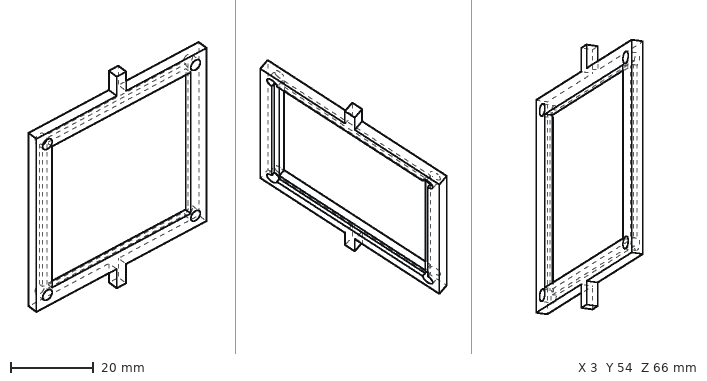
import cadquery as cq

thickness = 3.0
frame_side = 54.0
window_side = 44.0
ledge_width = 1.5
ledge_depth = 1.0
hole_diameter = 3.0
tab_width = 3.0
overall_height = 66.0

rebate_side = window_side + 2 * ledge_width
front_x = -thickness / 2


def make_frame():
    """Square plate with a square through window."""
    plate = cq.Workplane("XY").box(thickness, frame_side, frame_side)
    window = cq.Workplane("XY").box(thickness, window_side, window_side)
    return plate.cut(window)


def make_tabs():
    """Square bar whose two ends stand out above and below the frame."""
    bar = cq.Workplane("XY").box(thickness, tab_width, overall_height)
    frame_envelope = cq.Workplane("XY").box(thickness, frame_side, frame_side)
    return bar.cut(frame_envelope)


def make_rebate():
    """Shallow square recess around the window, open on the -X face."""
    return cq.Workplane("YZ", origin=(front_x, 0, 0)).rect(rebate_side, rebate_side).extrude(ledge_depth)


def make_corner_holes():
    """Through holes centred on the four corners of the rebate."""
    return (
        cq.Workplane("YZ", origin=(front_x, 0, 0))
        .rect(rebate_side, rebate_side, forConstruction=True)
        .vertices()
        .circle(hole_diameter / 2)
        .extrude(thickness)
    )


result = make_frame().union(make_tabs()).cut(make_rebate()).cut(make_corner_holes())